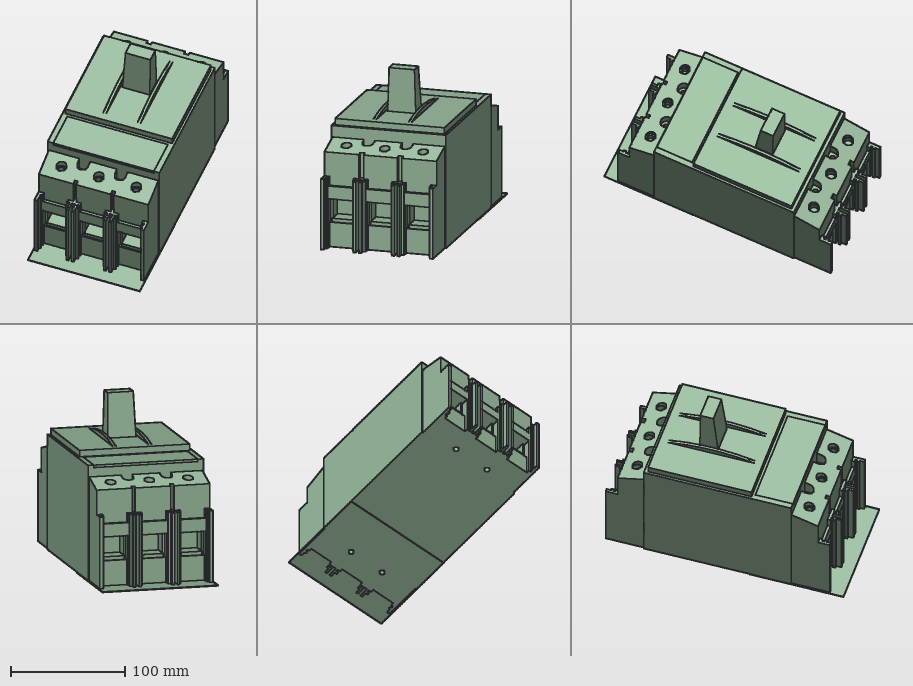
import cadquery as cq

width = 105.0
block_length = 135.2
plate_thickness = 0.7
block_top = 103.8

cover_width = 100.0
cover_start = 37.0
cover_end = 132.0
cover_top = 109.5

pole_pitch = 35.1
pole_places = (-pole_pitch, 0, pole_pitch)
divider_places = (-pole_pitch / 2, pole_pitch / 2)

end_width = 102.7
end_half = end_width / 2
end_length = 24.4
end_top_inner = 93.5
end_top_outer = 86.7
wall_thickness = 2.9
wall_face = end_length + wall_thickness

bar_top = 64.8
lintel_top = 56.6
window_top = 45.0
window_bottom = 23.0
window_width = 22.5
sill_depth = 1.3
jamb_depth = 3.5
pocket_width = 18.7
pocket_bottom = 26.3
pocket_depth = 13.2

lip_start = wall_face + 2.0
lip_end = lip_start + 2.2
centre_rail_end = 36.2
corner_rail_end = 35.3
centre_leg_half = 3.5
centre_lip_half = 5.7
corner_leg = 2.9
corner_lip = 4.4
divider_gap = 2.9
groove_depth = 3.5
back_groove_width = 4.2

screw_offset = 11.5
screw_diameter = 9.0
screw_floor = 86.3
front_bore_diameter = 5.5
back_bore_diameter = 8.5
bore_depth = 6.5

mount_offset = 4.5
mount_diameter = 4.5
mount_pocket_diameter = 10.0
mount_pocket_floor = 81.2

panel_width = 94.4
panel_length = 34.5
panel_thickness = 2.2

rib_spacing = 32.3
rib_width = 2.9
rib_top = 113.7
rib_start = 45.0
rib_end = 123.5

handle_top = 149.3
handle_back = 96.1
handle_base_width, handle_base_length = 25.7, 16.7
handle_tip_width, handle_tip_length = 23.3, 12.0

plate_start = -48.0
plate_end = 37.8


def box(x_range, y_range, z_range):
    (x0, x1), (y0, y1), (z0, z1) = x_range, y_range, z_range
    return cq.Workplane("XY").box(x1 - x0, y1 - y0, z1 - z0, centered=False).translate((x0, y0, z0))


def centred_box(x, box_width, y_range, z_range):
    return box((x - box_width / 2, x + box_width / 2), y_range, z_range)


def cylinder(x, y, diameter, bottom, top):
    return cq.Workplane("XY", origin=(x, y, bottom)).circle(diameter / 2).extrude(top - bottom)


def mirrored_x(shape):
    return shape.union(shape.mirror("YZ"))


def corner_rail():
    """Hooked rail at the -X edge of a terminal end, reaching outward along +Y."""
    full_height = (plate_thickness, bar_top)
    outer = -end_half
    window_edge = -pole_pitch - window_width / 2
    base = box((outer, window_edge), (end_length, wall_face), full_height)
    leg = box((outer, outer + corner_leg), (end_length, corner_rail_end), full_height)
    lip = box((outer, outer + corner_lip), (lip_start, lip_end), full_height)
    return base.union(leg).union(lip)


def divider_rail(x):
    """Double hooked rail between two poles, before its middle gap is cut."""
    full_height = (plate_thickness, bar_top)
    base_width = pole_pitch - window_width
    base = centred_box(x, base_width, (end_length, wall_face), full_height)
    legs = centred_box(x, 2 * centre_leg_half, (end_length, centre_rail_end), full_height)
    lips = centred_box(x, 2 * centre_lip_half, (lip_start, lip_end), full_height)
    return base.union(legs).union(lips)


def pole_opening():
    """Space cut from one pole below its lintel, leaving a raised terminal on the sill."""
    jamb_face = end_length - jamb_depth
    terminal_face = end_length - sill_depth
    pocket_end = jamb_face - pocket_depth
    opening = centred_box(0, window_width, (end_length, wall_face), (plate_thickness, window_top))
    sill = centred_box(0, window_width, (jamb_face, end_length), (window_bottom, window_top))
    terminal = centred_box(0, pocket_width, (jamb_face, terminal_face), (window_bottom, pocket_bottom))
    pocket = centred_box(0, pocket_width, (pocket_end, jamb_face), (pocket_bottom, window_top))
    return opening.union(sill.cut(terminal)).union(pocket)


def terminal_end(groove_width):
    """One terminal end, starting at Y = 0 and reaching outward along +Y."""
    profile = [(0, plate_thickness), (end_length, plate_thickness), (end_length, end_top_outer), (0, end_top_inner)]
    end = cq.Workplane("YZ").polyline(profile).close().extrude(end_half, both=True)
    end = end.union(centred_box(0, end_width, (0, wall_face), (plate_thickness, lintel_top)))
    end = end.union(mirrored_x(corner_rail()))
    for x in divider_places:
        end = end.union(divider_rail(x))
        groove_start = end_length - groove_depth
        end = end.cut(centred_box(x, groove_width, (groove_start, end_length), (bar_top, end_top_inner)))
        end = end.cut(centred_box(x, divider_gap, (wall_face, centre_rail_end), (plate_thickness, bar_top)))
    for x in pole_places:
        end = end.cut(pole_opening().translate((x, 0, 0)))
    for x in divider_places:
        end = end.cut(cylinder(x, mount_offset, mount_pocket_diameter, mount_pocket_floor, end_top_inner))
        end = end.cut(centred_box(x, mount_pocket_diameter, (0, mount_offset), (mount_pocket_floor, end_top_inner)))
        end = end.cut(cylinder(x, mount_offset, mount_diameter, plate_thickness, end_top_inner))
    for x in pole_places:
        end = end.cut(cylinder(x, screw_offset, screw_diameter, screw_floor, end_top_inner))
    return end


def front_end():
    end = terminal_end(divider_gap)
    for x in pole_places:
        end = end.cut(cylinder(x, screw_offset, front_bore_diameter, screw_floor - bore_depth, screw_floor))
    return end.mirror("XZ")


def back_end():
    end = terminal_end(back_groove_width)
    for x in pole_places:
        end = end.cut(cylinder(x, screw_offset, back_bore_diameter, screw_floor - bore_depth, screw_floor))
    return end.translate((0, block_length, 0))


def rib(x):
    """Arched rib standing on the cover."""
    return (
        cq.Workplane("YZ", origin=(x, 0, 0))
        .moveTo(rib_start, cover_top)
        .threePointArc(((rib_start + rib_end) / 2, rib_top), (rib_end, cover_top))
        .close()
        .extrude(rib_width / 2, both=True)
    )


def make_panel():
    return centred_box(0, panel_width, (0, panel_length), (block_top - panel_thickness, block_top))


def make_housing():
    housing = centred_box(0, width, (0, block_length), (plate_thickness, block_top))
    housing = housing.union(front_end()).union(back_end())
    housing = housing.union(centred_box(0, cover_width, (cover_start, cover_end), (block_top, cover_top)))
    for x in (-rib_spacing / 2, rib_spacing / 2):
        housing = housing.union(rib(x))
    return housing.cut(make_panel())


def make_handle():
    """Tapered handle with an upright +Y face."""
    tip_shift = (handle_base_length - handle_tip_length) / 2
    return (
        cq.Workplane("XY", origin=(0, handle_back - handle_base_length / 2, cover_top))
        .rect(handle_base_width, handle_base_length)
        .workplane(offset=handle_top - cover_top)
        .center(0, tip_shift)
        .rect(handle_tip_width, handle_tip_length)
        .loft(ruled=True)
    )


def make_plate():
    plate = centred_box(0, width, (plate_start, plate_end), (0, plate_thickness))
    for x in divider_places:
        plate = plate.cut(cylinder(x, -mount_offset, mount_diameter, 0, plate_thickness))
    return plate


housing = make_housing()
panel = make_panel()
handle = make_handle()
plate = make_plate()

result = cq.Compound.makeCompound([housing.val(), panel.val(), handle.val(), plate.val()])